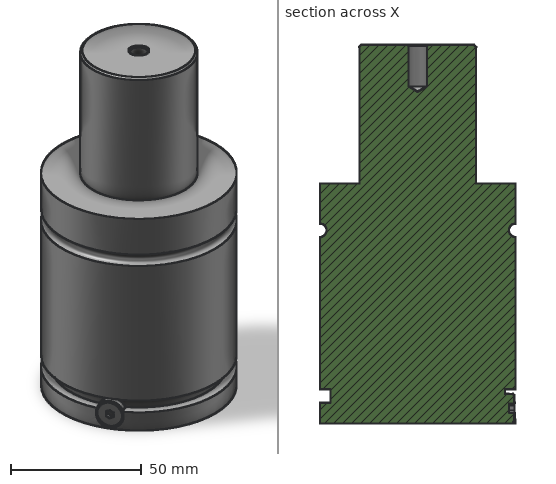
import cadquery as cq
import math

total_height = 145.0
body_radius = 75.0 / 2
neck_radius = 67.0 / 2
rod_radius = 45.0 / 2
rod_chamfer = 0.9

flange_top = 8.0
neck_top = 13.0
shoulder_height = 92.0

groove_radius = 2.5
groove_height = 74.0

hole_diameter = 6.8
hole_mouth_diameter = 8.0
hole_depth = 16.0
drill_point_angle = 118.0

plug_diameter = 11.0
plug_face_diameter = 10.0
plug_height = 6.0
plug_face_offset = 37.0
plug_seat_offset = 29.0
socket_width = 3.0
socket_depth = 2.0


def make_body():
    """Revolve the stepped cylinder, including its neck and clamping groove."""
    half_profile = (
        cq.Workplane("XZ")
        .lineTo(body_radius, 0)
        .lineTo(body_radius, flange_top)
        .lineTo(neck_radius, flange_top)
        .lineTo(neck_radius, neck_top)
        .lineTo(body_radius, neck_top)
        .lineTo(body_radius, groove_height - groove_radius)
        .threePointArc(
            (body_radius - groove_radius, groove_height),
            (body_radius, groove_height + groove_radius),
        )
        .lineTo(body_radius, shoulder_height)
        .lineTo(rod_radius, shoulder_height)
        .lineTo(rod_radius, total_height - rod_chamfer)
        .lineTo(rod_radius - rod_chamfer, total_height)
        .lineTo(0, total_height)
        .close()
    )
    return half_profile.revolve(360, (0, 0), (0, 1))


def make_rod_hole():
    """Revolve the drilled hole with its chamfered mouth and conical bottom."""
    hole_radius = hole_diameter / 2
    mouth_radius = hole_mouth_diameter / 2
    mouth_depth = mouth_radius - hole_radius
    point_depth = hole_radius / math.tan(math.radians(drill_point_angle / 2))
    half_profile = (
        cq.Workplane("XZ")
        .moveTo(0, total_height)
        .lineTo(mouth_radius, total_height)
        .lineTo(hole_radius, total_height - mouth_depth)
        .lineTo(hole_radius, total_height - hole_depth)
        .lineTo(0, total_height - hole_depth - point_depth)
        .close()
    )
    return half_profile.revolve(360, (0, 0), (0, 1))


def plug_plane(offset):
    """Return a plane facing -Y, centred on the plug axis at this distance."""
    return cq.Workplane("XZ", origin=(0, -offset, plug_height))


def make_plug_clearance():
    """Cut away the flange in front of the plug seat."""
    return plug_plane(plug_seat_offset).circle(plug_diameter / 2).extrude(body_radius - plug_seat_offset)


def make_plug():
    """Build the chamfered plug with a hexagon socket in its face."""
    chamfer = (plug_diameter - plug_face_diameter) / 2
    plug = (
        plug_plane(plug_seat_offset)
        .circle(plug_diameter / 2)
        .extrude(plug_face_offset - plug_seat_offset)
        .faces("<Y")
        .chamfer(chamfer)
    )
    socket = (
        plug_plane(plug_face_offset)
        .polygon(6, socket_width, circumscribed=True)
        .extrude(-socket_depth)
    )
    return plug.cut(socket)


body = make_body().cut(make_rod_hole()).cut(make_plug_clearance())
result = body.union(make_plug())